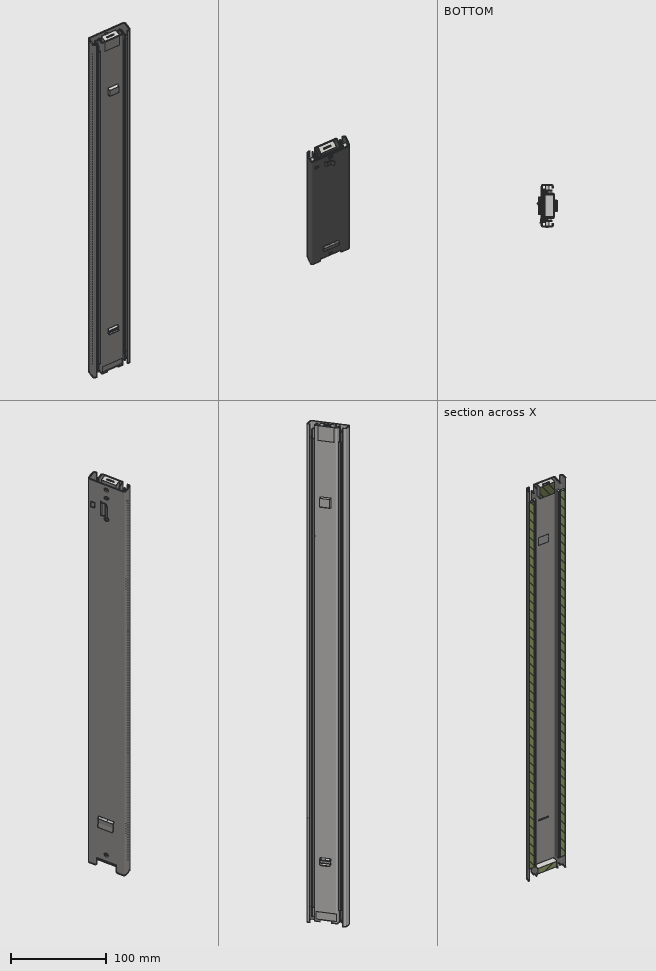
import cadquery as cq

rail_length = 550.0
sheet = 1.0
corner_radius = 2.0
bend_radius = 1.5

outer_depth = 12.5
outer_half_width = 22.5
track_rise = 0.3
track_start = 4.0
track_width = 4.5
lip_length = 4.0
wall_half_width = outer_half_width - track_rise

notch_half_width = 11.5
notch_height = 10.5
notch_flare = 1.5

hole_diameter = 5.0
countersunk_diameter = 3.0
countersunk_heights = (20.5, 543.5)
plain_hole_height = 501.0
slot_middle_height = 531.5
slot_height = 3.5

middle_back = 3.0
middle_front = 11.5
middle_half_width = 16.5
middle_foot = 6.0
middle_head_recess = 5.5

inner_back = 5.5
inner_front = 14.0
inner_half_width = 13.0
inner_foot = 3.0
relief_half_width = 6.5
relief_height = 2.0

retainer_sheet = 0.5
outer_retainer_back = 1.5
outer_retainer_half_width = 17.5
inner_retainer_back = 4.5
inner_retainer_half_width = 14.5
retainer_bend = 1.0
ball_bar_width = 4.0
ball_bar_start = 4.5
retainer_end_gap = 16.5

tab_width = 18.0
tab_root_height = 2.0
tab_dip_height = 1.5
tab_root_ramp = 1.5
tab_tip_bevel = 1.0
tab_corner = 1.5

side_tab_root = 7.0
side_tab_height = 515.5
side_tab_run = 6.5
side_tab_flare = 4.0
side_tab_reach = 4.5

foot_tab_root = 72.0
foot_tab_run = 8.0
foot_tab_flare = 6.5
foot_tab_reach = 3.0

inner_tab_root = 73.5
inner_tab_width = 12.0
inner_tab_run = 5.5
inner_tab_flare = 3.0
inner_tab_reach = 3.0

pad_outer_edge = 18.0
pad_length = 4.5
pad_bottom = 512.0
pad_height = 7.0
pad_high = 1.0
pad_low = 0.5

boss_width = 12.0
boss_height = 11.0
boss_rise = 3.5
boss_middle = 466.5
boss_draft = 11.0

block_half_width = 9.0
block_length = 16.5
block_slot_width = 1.0
block_slot_length = 8.0
block_slot_depth = 2.0
bumper_half_width = 11.5
bumper_foot = 5.0
bumper_length = 8.0
bumper_rounding = 2.0


def box(x_range, y_range, z_range):
    """Axis-aligned block between the given limits."""
    size = [high - low for low, high in (x_range, y_range, z_range)]
    corner = (x_range[0], y_range[0], z_range[0])
    return cq.Workplane("XY").box(*size, centered=False).translate(corner)


def channel(back, front, half_width, thickness, foot, head, radius):
    """Channel open towards +X, with rounded bends along its back."""
    outside = box((back, front), (-half_width, half_width), (foot, head)).edges("|Z and <X").fillet(radius)
    inside_half = half_width - thickness
    inside = box((back + thickness, front), (-inside_half, inside_half), (foot, head))
    return outside.cut(inside.edges("|Z and <X").fillet(radius - thickness))


def tab(run, flare, reach, width):
    """Tab with its root at the origin, running along +X, standing off along +Y, centred on Z."""
    end = run + flare
    profile = [
        (0, -sheet / 2),
        (0, 0),
        (tab_root_ramp, tab_root_height),
        (run, tab_dip_height),
        (end - tab_tip_bevel, reach),
        (end, reach - sheet),
        (run, tab_dip_height - sheet),
        (tab_root_ramp + sheet, tab_root_height - sheet),
        (sheet, -sheet / 2),
    ]
    blank = cq.Workplane("XY").polyline(profile).close().extrude(width).translate((0, 0, -width / 2))
    half = width / 2
    outline = [
        (0, -half),
        (end - tab_corner, -half),
        (end, tab_corner - half),
        (end, half - tab_corner),
        (end - tab_corner, half),
        (0, half),
    ]
    trimmer = cq.Workplane("XZ").polyline(outline).close().extrude(2 * reach, both=True)
    return blank.intersect(trimmer)


def placed(local_solid, origin, run_direction, width_direction):
    """Move a tab so that its run and width follow the given directions."""
    plane = cq.Plane(origin=origin, xDir=run_direction, normal=width_direction)
    return cq.Workplane(obj=local_solid.val().moved(cq.Location(plane)))


def outer_section():
    """Outer channel with lips, before any tabs and cut-outs."""
    wall = wall_half_width
    track_end = track_start + track_width
    body = box((0, outer_depth), (-wall, wall), (0, rail_length)).edges("|Z").fillet(corner_radius)
    inside_half = wall - sheet
    body = body.cut(
        box((sheet, outer_depth - sheet), (-inside_half, inside_half), (0, rail_length))
        .edges("|Z").fillet(corner_radius - sheet)
    )
    mouth = wall - lip_length
    body = body.cut(box((outer_depth - sheet, outer_depth), (-mouth, mouth), (0, rail_length)))
    for side in (-1, 1):
        track = (
            cq.Workplane("XY")
            .moveTo(track_start, side * wall)
            .threePointArc(
                (track_start + track_width / 2, side * outer_half_width),
                (track_end, side * wall),
            )
            .lineTo(track_end, side * (wall - sheet / 2))
            .lineTo(track_start, side * (wall - sheet / 2))
            .close()
            .extrude(rail_length)
        )
        body = body.union(track)
    return body


def foot_notch():
    """Notch through the back of the outer rail, flared at its foot."""
    flared = notch_half_width + notch_flare
    outline = [
        (-flared, 0),
        (flared, 0),
        (notch_half_width, notch_flare),
        (notch_half_width, notch_height),
        (-notch_half_width, notch_height),
        (-notch_half_width, notch_flare),
    ]
    return cq.Workplane("YZ").polyline(outline).close().extrude(sheet)


def fixing_holes():
    """Two countersunk holes, one plain hole and one slot through the back."""
    back = cq.Workplane("YZ")
    tools = back.center(0, plain_hole_height).circle(hole_diameter / 2).extrude(sheet)
    tools = tools.union(back.center(0, slot_middle_height).slot2D(hole_diameter, slot_height).extrude(sheet))
    for height in countersunk_heights:
        cone = (
            back.center(0, height)
            .circle(hole_diameter / 2)
            .workplane(offset=sheet)
            .circle(countersunk_diameter / 2)
            .loft()
        )
        tools = tools.union(cone)
    return tools


def sloping_pad():
    """Small pad on the mounting face, sloping down towards the middle."""
    inner_edge = pad_outer_edge - pad_length
    outline = [
        (sheet / 2, pad_outer_edge),
        (-pad_high, pad_outer_edge),
        (-pad_low, inner_edge),
        (sheet / 2, inner_edge),
    ]
    return cq.Workplane("XY").polyline(outline).close().extrude(pad_height).translate((0, 0, pad_bottom))


def make_outer_rail():
    side_tab = placed(
        tab(side_tab_run, side_tab_flare, side_tab_reach, tab_width),
        (0, side_tab_root, side_tab_height), (0, -1, 0), (0, 0, -1),
    )
    foot_tab = placed(
        tab(foot_tab_run, foot_tab_flare, foot_tab_reach, tab_width),
        (0, 0, foot_tab_root), (0, 0, -1), (0, 1, 0),
    )
    body = outer_section().cut(foot_notch()).cut(fixing_holes())
    return body.union(side_tab).union(foot_tab).union(sloping_pad())


def make_middle_rail():
    return channel(
        middle_back, middle_front, middle_half_width, sheet,
        middle_foot, rail_length - middle_head_recess, bend_radius,
    )


def make_inner_rail():
    """Channel facing the middle rail, with a relieved foot, a bayonet tab and a boss."""
    depth = inner_front - inner_back
    body = channel(0, depth, inner_half_width, sheet, inner_foot, rail_length, bend_radius)
    body = body.mirror("YZ").translate((inner_front, 0, 0))
    relief = box(
        (inner_back, inner_front),
        (-relief_half_width, relief_half_width),
        (inner_foot, inner_foot + relief_height),
    )
    inner_tab = placed(
        tab(inner_tab_run, inner_tab_flare, inner_tab_reach, inner_tab_width),
        (inner_front, 0, inner_tab_root), (0, 0, -1), (0, -1, 0),
    )
    boss = (
        cq.Workplane("YZ", origin=(inner_front, 0, boss_middle))
        .rect(boss_width, boss_height)
        .extrude(boss_rise, taper=boss_draft)
    )
    return body.cut(relief).union(inner_tab).union(boss)


def make_retainer(back, half_width, wall_inside, wall_outside, bar_start):
    """Thin channel with a bar on each side filling the ball gap between two rails."""
    foot = retainer_end_gap
    head = rail_length - retainer_end_gap
    bar_end = bar_start + ball_bar_width
    body = channel(back, bar_end, half_width, retainer_sheet, foot, head, retainer_bend)
    for side in (-1, 1):
        bar = box((bar_start, bar_end), (wall_inside, wall_outside), (foot, head))
        body = body.union(bar if side > 0 else bar.mirror("XZ"))
    return body


def make_stop_block():
    back = inner_retainer_back + retainer_sheet
    front = inner_front - sheet
    block = box(
        (back, front), (-block_half_width, block_half_width), (rail_length - block_length, rail_length)
    )
    middle = (back + front) / 2
    slot = box(
        (middle - block_slot_width / 2, middle + block_slot_width / 2),
        (-block_slot_length / 2, block_slot_length / 2),
        (rail_length - block_slot_depth, rail_length),
    )
    return block.cut(slot)


def make_bumper():
    back = middle_back + sheet
    front = inner_front - sheet
    bumper = box(
        (back, front), (-bumper_half_width, bumper_half_width), (bumper_foot, bumper_foot + bumper_length)
    )
    return bumper.edges("<Z and <X").fillet(bumper_rounding)


outer_rail = make_outer_rail()
middle_rail = make_middle_rail()
inner_rail = make_inner_rail()
outer_retainer = make_retainer(
    outer_retainer_back, outer_retainer_half_width,
    middle_half_width, wall_half_width - sheet, ball_bar_start,
)
inner_retainer = make_retainer(
    inner_retainer_back, inner_retainer_half_width,
    inner_half_width, middle_half_width - sheet, inner_back + sheet,
)
stop_block = make_stop_block()
bumper = make_bumper()

bodies = [outer_rail, middle_rail, inner_rail, outer_retainer, inner_retainer, stop_block, bumper]
result = cq.Compound.makeCompound([body.solids().val() for body in bodies])